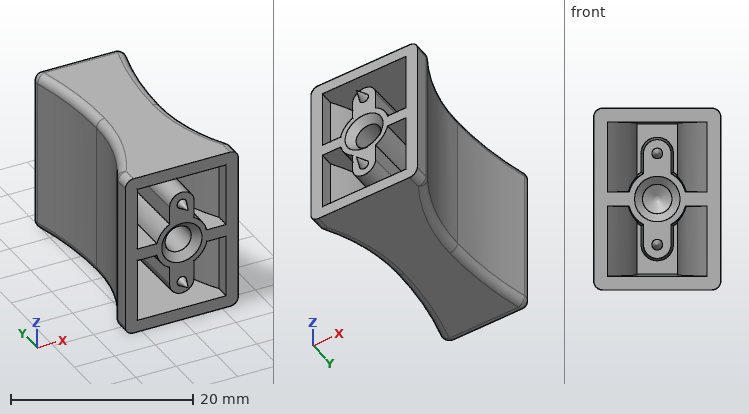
import cadquery as cq
import math

width = 14.0
height = 19.98
overall_length = 26.5
spike_length = 1.5
body_length = overall_length - spike_length
edge_radius = 1.0

foot_length = 2.01
waist_y = 12.6
waist_half = 4.0
end_half = 5.88

wall = 1.5
waist_wall = 1.8
cavity_depth = 20.0
draft = 0.75
cavity_half = width / 2 - wall
cavity_height = height - 2 * wall
flare_radius = 20.0
rib_thickness = 1.5

boss_radius = 3.18
arm_width = 3.02
spike_offset = 5.0
hole_radius = 1.62
countersink_radius = 2.5
hole_depth = 12.0
drill_tip_angle = 118.0
spike_radius = 0.58


def flare_point(waist, outer, span, y_direction):
    """Middle of an arc that leaves the waist along Y and reaches `outer` after `span` in Y."""
    rise = outer - waist
    radius = (span ** 2 + rise ** 2) / (2 * rise)
    half_angle = math.asin(span / radius) / 2
    x = waist + radius * (1 - math.cos(half_angle))
    y = waist_y + y_direction * radius * math.sin(half_angle)
    return x, y


def base_plane():
    """Sketch plane on the base: local x is -X, local y is Z, extrusion goes into the body (+Y)."""
    return cq.Workplane(cq.Plane(origin=(0, 0, 0), xDir=(-1, 0, 0), normal=(0, 1, 0)))


def make_body():
    half = width / 2
    lower_x, lower_y = flare_point(waist_half, half, waist_y - foot_length, -1)
    upper_x, upper_y = flare_point(waist_half, end_half, body_length - waist_y, 1)
    body = (
        cq.Workplane("XY")
        .workplane(offset=-height / 2)
        .moveTo(-half, 0)
        .lineTo(half, 0)
        .lineTo(half, foot_length)
        .threePointArc((lower_x, lower_y), (waist_half, waist_y))
        .threePointArc((upper_x, upper_y), (end_half, body_length))
        .lineTo(-end_half, body_length)
        .threePointArc((-upper_x, upper_y), (-waist_half, waist_y))
        .threePointArc((-lower_x, lower_y), (-half, foot_length))
        .close()
        .extrude(height)
    )
    margin = 0.26
    joints = cq.selectors.BoxSelector(
        (-width, waist_y - margin, -margin), (width, waist_y + margin, margin)
    )
    off_base = cq.selectors.InverseSelector(cq.StringSyntaxSelector("<Y"))
    return body.edges(off_base - joints).fillet(edge_radius)


def make_cavity_sides():
    """Flared side limits of the cavity: one arc on each side, narrowest at the waist."""
    waist = waist_half - waist_wall
    rise = cavity_half - waist
    start_y = waist_y - math.sqrt(flare_radius ** 2 - (flare_radius - rise) ** 2)
    past_waist = cavity_depth - waist_y
    floor_half = waist + flare_radius - math.sqrt(flare_radius ** 2 - past_waist ** 2)
    return (
        cq.Workplane("XY")
        .workplane(offset=-height / 2)
        .moveTo(-cavity_half, 0)
        .lineTo(cavity_half, 0)
        .lineTo(cavity_half, start_y)
        .threePointArc((waist, waist_y), (floor_half, cavity_depth))
        .lineTo(-floor_half, cavity_depth)
        .threePointArc((-waist, waist_y), (-cavity_half, start_y))
        .close()
        .extrude(height)
    )


def make_boss():
    """Round boss and its two arms, all widening towards the cavity floor."""
    boss = base_plane().circle(boss_radius).extrude(cavity_depth, taper=-draft)
    arms = (
        base_plane()
        .slot2D(2 * spike_offset + arm_width, arm_width, 90)
        .extrude(cavity_depth, taper=-draft)
    )
    return boss.union(arms)


def make_cavity():
    """Two drafted cells, one on each side of the rib, around the boss."""
    cell_height = (cavity_height - rib_thickness) / 2
    cell_offset = (cavity_height + rib_thickness) / 4
    cells = (
        base_plane()
        .pushPoints([(0, cell_offset), (0, -cell_offset)])
        .rect(2 * cavity_half, cell_height)
        .extrude(cavity_depth, taper=draft)
    )
    return cells.intersect(make_cavity_sides()).cut(make_boss())


def make_screw_hole():
    """Countersunk blind hole with a drill tip, turned about the Y axis."""
    countersink_depth = countersink_radius - hole_radius
    tip_depth = hole_radius / math.tan(math.radians(drill_tip_angle / 2))
    return (
        cq.Workplane("XY")
        .polyline([
            (0, 0),
            (countersink_radius, 0),
            (hole_radius, countersink_depth),
            (hole_radius, hole_depth),
            (0, hole_depth + tip_depth),
        ])
        .close()
        .revolve(360, (0, 0, 0), (0, 1, 0))
    )


def make_spike(z):
    cone = cq.Solid.makeCone(
        spike_radius, 0, spike_length, pnt=cq.Vector(0, 0, z), dir=cq.Vector(0, -1, 0)
    )
    return cq.Workplane(obj=cone)


result = make_body().cut(make_cavity()).cut(make_screw_hole())
for spike_z in (-spike_offset, spike_offset):
    result = result.union(make_spike(spike_z))